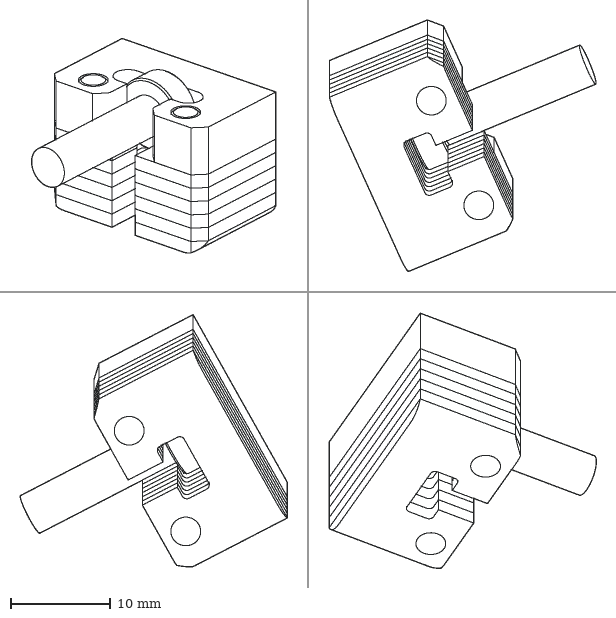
import cadquery as cq
import math

block_width = 20.0
block_depth = 12.0
block_height = 14.1
corner_chamfer = 1.25

plate_count = 6
stack_height = 8.88
plate_thickness = stack_height / plate_count
plate_slot_width = 3.0
edge_radius = 2.4

head_slot_width = 3.0
head_slot_length = 10.82
head_slot_y = 5.5
head_slot_front = head_slot_y - head_slot_width / 2

pocket_width = 6.2
pocket_round = 0.5

jaw_gap = 5.65
mouth_chamfer = 1.2
jaw_round = 0.72

pin_diameter = 3.0
pin_spacing = 12.0
pin_y = 2.55
pin_chamfer = 0.26

bolt_axis_z = 11.47
head_diameter = 7.73
head_chamfer = 0.2
shank_diameter = 4.27
shank_reach = 12.0

pin_centres = [(-pin_spacing / 2, pin_y), (pin_spacing / 2, pin_y)]


def block_slice(bottom, height):
    """A full-outline slice of the block with its front corners cut and pin holes drilled."""
    half = block_width / 2
    outline = [
        (-half, block_depth),
        (-half, corner_chamfer),
        (-half + corner_chamfer, 0),
        (half - corner_chamfer, 0),
        (half, corner_chamfer),
        (half, block_depth),
    ]
    body = cq.Workplane("XY", origin=(0, 0, bottom)).polyline(outline).close().extrude(height)
    holes = (
        cq.Workplane("XY", origin=(0, 0, bottom))
        .pushPoints(pin_centres)
        .circle(pin_diameter / 2)
        .extrude(height)
    )
    return body.cut(holes)


def head_slot(bottom, height):
    """Round-ended slot that takes the bolt head."""
    return (
        cq.Workplane("XY", origin=(0, head_slot_y, bottom))
        .slot2D(head_slot_length, head_slot_width)
        .extrude(height)
    )


def plate_slot(bottom):
    """T-shaped slot: a narrow entry from the front face and a wide pocket under the head slot."""
    entry = (
        cq.Workplane("XY", origin=(0, head_slot_front / 2, bottom))
        .rect(plate_slot_width, head_slot_front)
        .extrude(plate_thickness)
    )
    pocket = (
        cq.Workplane("XY", origin=(0, head_slot_y, bottom))
        .rect(pocket_width, head_slot_width)
        .extrude(plate_thickness)
        .edges("|Z")
        .fillet(pocket_round)
    )
    return entry.union(pocket)


def make_upper_block():
    height = block_height - stack_height
    half_gap = jaw_gap / 2
    half_mouth = half_gap + mouth_chamfer
    mouth_outline = [
        (-half_mouth, 0),
        (half_mouth, 0),
        (half_gap, mouth_chamfer),
        (half_gap, head_slot_y),
        (-half_gap, head_slot_y),
        (-half_gap, mouth_chamfer),
    ]
    mouth = (
        cq.Workplane("XY", origin=(0, 0, stack_height))
        .polyline(mouth_outline)
        .close()
        .extrude(height)
    )
    blend_edges = cq.selectors.BoxSelector(
        (-half_gap - jaw_round, mouth_chamfer / 2, stack_height),
        (half_gap + jaw_round, mouth_chamfer * 2, block_height),
    )
    mouth = mouth.edges("|Z").edges(blend_edges).fillet(jaw_round)
    return block_slice(stack_height, height).cut(mouth).cut(head_slot(stack_height, height))


def make_plate(index):
    """One plate of the stack, counted from the bottom."""
    bottom = index * plate_thickness
    plate = block_slice(bottom, plate_thickness)
    plate = plate.cut(plate_slot(bottom))
    if index == 0:
        plate = plate.intersect(rounded_profile())
    return plate


def rounded_profile():
    """Cross-section of the bottom plate: side arcs flow into the underside from the full width."""
    half = block_width / 2
    arc_width = math.sqrt(edge_radius**2 - (edge_radius - plate_thickness) ** 2)
    flat = half - arc_width
    return (
        cq.Workplane("XZ")
        .moveTo(-half, plate_thickness)
        .radiusArc((-flat, 0), -edge_radius)
        .lineTo(flat, 0)
        .radiusArc((half, plate_thickness), -edge_radius)
        .close()
        .extrude(-block_depth)
    )


def make_pin(centre):
    """Pin through the whole stack, flush with the top, with its top rim chamfered."""
    pin = cq.Workplane("XY").center(*centre).circle(pin_diameter / 2).extrude(block_height)
    return pin.faces(">Z").chamfer(pin_chamfer)


def make_bolt():
    """Round-headed bolt lying along Y, its head captured in the head slot."""
    head = (
        cq.Workplane("XZ", origin=(0, head_slot_front, bolt_axis_z))
        .circle(head_diameter / 2)
        .extrude(-head_slot_width)
        .edges()
        .chamfer(head_chamfer)
    )
    shank = (
        cq.Workplane("XZ", origin=(0, head_slot_front, bolt_axis_z))
        .circle(shank_diameter / 2)
        .extrude(head_slot_front + shank_reach)
    )
    return head.union(shank)


upper_block = make_upper_block()
plates = [make_plate(index) for index in range(plate_count)]
pins = [make_pin(centre) for centre in pin_centres]
bolt = make_bolt()

result = cq.Compound.makeCompound(
    [upper_block.val(), bolt.val()] + [plate.val() for plate in plates] + [pin.val() for pin in pins]
)